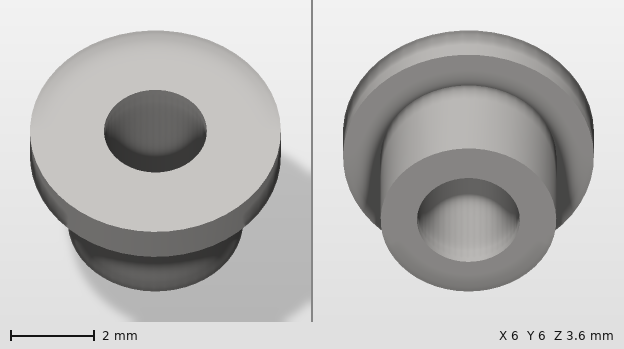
import cadquery as cq

flange_diameter = 6.0
sleeve_diameter = 4.2
bore_diameter = 2.46
total_height = 3.6
flange_thickness = 1.0

sleeve_height = total_height - flange_thickness

sleeve = cq.Workplane("XY").circle(sleeve_diameter / 2).extrude(sleeve_height)
flange = (
    cq.Workplane("XY")
    .workplane(offset=sleeve_height)
    .circle(flange_diameter / 2)
    .extrude(flange_thickness)
)

bore = cq.Workplane("XY").circle(bore_diameter / 2).extrude(total_height)

result = sleeve.union(flange).cut(bore)